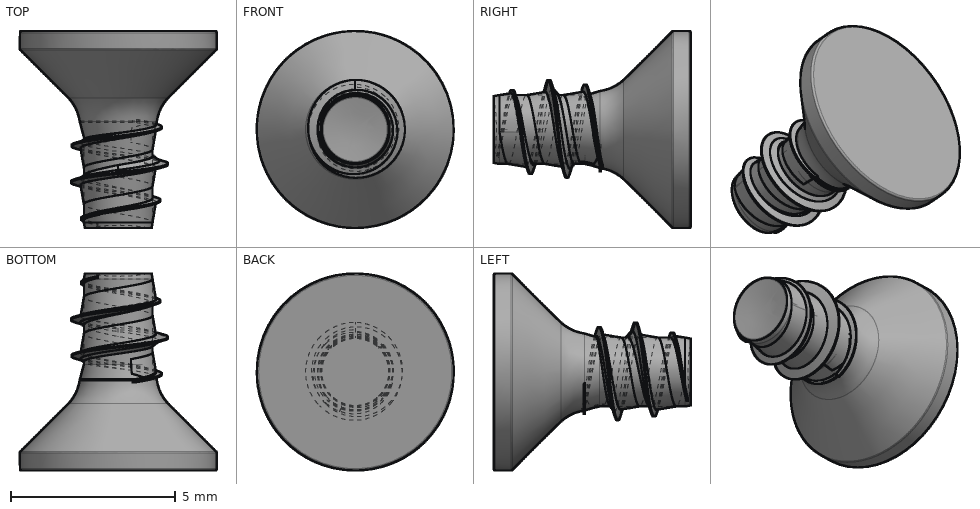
import cadquery as cq
import math


length = 6
head_radius = 3
rim_depth = 0.56
rim_fillet = 0.06
neck_start_radius = 1.51
neck_start_depth = rim_depth + head_radius - neck_start_radius
neck_mid_radius = 1.29
neck_mid_depth = 2.375
neck_end_radius = 1.175
neck_end_depth = 2.76
core_radius = 1.05
core_start_depth = 3.23

tip_radius = 1.02
tip_slope = 0.17
tip_cone_length = 1.8
dish_radius = 0.97
dish_depth = 0.09

pitch = 1.115
major_radius = 1.51
peak_depth = 4.325
run_in_turns = 1.44
run_in_slope = 0.19
run_in_overshoot = 0.055
run_out_turns = 1.4
run_out_slope = -0.305
buried_radius = 0.84

crest_half_width = 0.02
foot_offset = 0.11
foot_radius = 1.145
thread_section = [
    (-0.245, buried_radius),
    (-0.245, core_radius),
    (-0.095, 1.235),
    (-crest_half_width, major_radius),
    (crest_half_width, major_radius),
    (foot_offset, foot_radius),
    (foot_offset, buried_radius),
]

swelling_end_offset = 0.67
swelling_taper = (foot_radius - core_radius) / (swelling_end_offset - foot_offset)
swelling_peak_radius = core_radius + swelling_taper * (swelling_end_offset - crest_half_width)
swelling_section = [
    (crest_half_width, buried_radius),
    (crest_half_width, swelling_peak_radius),
    (swelling_end_offset, core_radius),
    (swelling_end_offset, buried_radius),
]

fin_thickness = 0.04
fin_start_angle = 197
fin_mid_angle = 235
fin_end_angle = 90 - 360 * (run_in_turns - 1)
fin_mid_radius = 1.235
fin_end_radius = 1.285


def polar(radius, angle):
    return (radius * math.cos(math.radians(angle)), radius * math.sin(math.radians(angle)))


def helix_edge(radius, depth, turns, slope):
    """Helix starting on local +X, whose radius changes by slope per turn."""
    cone_angle = math.atan2(slope, pitch)
    slant_pitch = pitch / math.cos(cone_angle)
    half_angle = math.degrees(cone_angle) if slope else 360
    start_centre = cq.Vector(0, 0, depth)
    wire = cq.Wire.makeHelix(slant_pitch, turns * slant_pitch, radius, start_centre, angle=half_angle)
    return wire.Edges()[0]


def helical_solid(section, start_turn, turns, slope, start_shift):
    """Sweep a section of (offset, radius) points, moved outward by start_shift, along a helix."""
    start_depth = peak_depth + start_turn * pitch
    edges = [helix_edge(r + start_shift, start_depth + z, turns, slope) for z, r in section]
    neighbours = edges[1:] + edges[:1]
    faces = [cq.Face.makeRuledSurface(a, b) for a, b in zip(edges, neighbours)]
    for end in (0, 1):
        corners = [edge.positionAt(end) for edge in edges]
        faces.append(cq.Face.makeFromWires(cq.Wire.makePolygon(corners, close=True)))
    solid = cq.Solid.makeSolid(cq.Shell.makeShell(faces)).fix()
    start_angle = 90 + 360 * start_turn
    return cq.Workplane(solid.rotate(cq.Vector(0, 0, 0), cq.Vector(0, 0, 1), start_angle))


def make_blank():
    """Head, neck and core as one turned shape, before the tip is dished."""
    tip_start_depth = length - (core_radius - tip_radius) / tip_slope
    profile = (
        cq.Workplane("XZ")
        .moveTo(0, 0)
        .lineTo(head_radius, 0)
        .lineTo(head_radius, rim_depth)
        .lineTo(neck_start_radius, neck_start_depth)
        .threePointArc((neck_mid_radius, neck_mid_depth), (neck_end_radius, neck_end_depth))
        .lineTo(core_radius, core_start_depth)
        .lineTo(core_radius, tip_start_depth)
        .lineTo(tip_radius, length)
        .lineTo(0, length)
        .close()
    )
    turned_shape = profile.revolve(360, (0, 0), (0, 1))
    rim_zone = cq.selectors.BoxSelector(
        (-head_radius, -head_radius, -rim_fillet), (head_radius, head_radius, rim_depth + rim_fillet)
    )
    return turned_shape.edges("%CIRCLE").edges(rim_zone).fillet(rim_fillet)


def make_dish():
    sphere_radius = (dish_radius**2 + dish_depth**2) / (2 * dish_depth)
    return cq.Workplane().sphere(sphere_radius).translate((0, 0, length - dish_depth + sphere_radius))


def make_tip_trim():
    """Cone that limits the root swelling towards the tip."""
    wide_radius = tip_radius + tip_slope * tip_cone_length
    tip_cone = cq.Solid.makeCone(
        wide_radius, tip_radius, tip_cone_length, cq.Vector(0, 0, length - tip_cone_length)
    )
    upper = cq.Workplane().circle(wide_radius).extrude(length - tip_cone_length)
    return upper.union(cq.Workplane(tip_cone))


def make_fin(blank):
    """Flat crescent that grows out of the neck up to the start of the thread."""
    return (
        cq.Workplane(origin=(0, 0, neck_end_depth - fin_thickness / 2))
        .moveTo(0, 0)
        .lineTo(*polar(neck_end_radius, fin_start_angle))
        .threePointArc(polar(fin_mid_radius, fin_mid_angle), polar(fin_end_radius, fin_end_angle))
        .close()
        .extrude(fin_thickness)
        .cut(blank)
    )


blank = make_blank()
screw = blank.cut(make_dish())

major_cylinder = cq.Workplane().circle(major_radius).extrude(length)
run_in_shift = run_in_overshoot - run_in_slope * run_in_turns
run_in = helical_solid(thread_section, -run_in_turns, run_in_turns, run_in_slope, run_in_shift)
run_in = run_in.intersect(major_cylinder).cut(blank)

run_out = helical_solid(thread_section, 0, run_out_turns, run_out_slope, 0).cut(blank)

swelling = helical_solid(swelling_section, -run_in_turns, run_in_turns + run_out_turns, 0, 0)
swelling = swelling.intersect(make_tip_trim()).cut(blank).cut(run_in).cut(run_out)

fin = make_fin(blank)

bodies = [screw, swelling, run_in, run_out, fin]
turned = [body.rotate((0, 0, 0), (1, 0, 0), 90) for body in bodies]
result = cq.Compound.makeCompound([body.val() for body in turned])